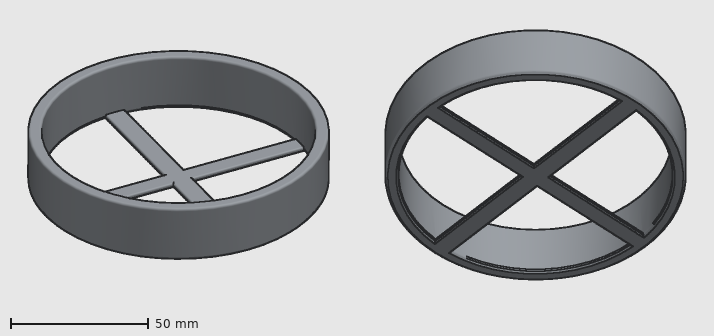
import cadquery as cq

outer_diameter = 109.5
inner_diameter = 99.5
ring_height = 22.0
ring_edge_radius = 1.0
ring_bottom_chamfer = 1.0

bar_thickness = 2.0
x_bar_width = 8.0
y_bar_width = 7.0
bar_edge_radius = 0.7
bar_bottom_chamfer = 0.5


def make_ring():
    """Ring with rounded top edges and a softened chamfer around the bottom edges."""
    ring = (
        cq.Workplane("XY")
        .circle(outer_diameter / 2)
        .circle(inner_diameter / 2)
        .extrude(ring_height)
    )
    ring = ring.faces("<Z").edges().chamfer(ring_bottom_chamfer)
    ring = ring.faces(">Z").edges().fillet(ring_edge_radius)

    tolerance = 0.01
    reach = outer_diameter
    chamfer_top_edges = cq.selectors.BoxSelector(
        (-reach, -reach, ring_bottom_chamfer - tolerance),
        (reach, reach, ring_bottom_chamfer + tolerance),
    )
    return ring.edges("%CIRCLE").edges(chamfer_top_edges).fillet(ring_edge_radius)


def make_cross():
    """Two crossed bars, rounded above and chamfered below, ending inside the ring wall."""
    bar_length = (outer_diameter + inner_diameter) / 2
    x_bar = cq.Workplane("XY").rect(bar_length, x_bar_width).extrude(bar_thickness)
    y_bar = cq.Workplane("XY").rect(y_bar_width, bar_length).extrude(bar_thickness)
    cross = x_bar.union(y_bar)
    cross = cross.faces(">Z").edges().fillet(bar_edge_radius)
    return cross.faces("<Z").edges().chamfer(bar_bottom_chamfer)


result = make_ring().union(make_cross())